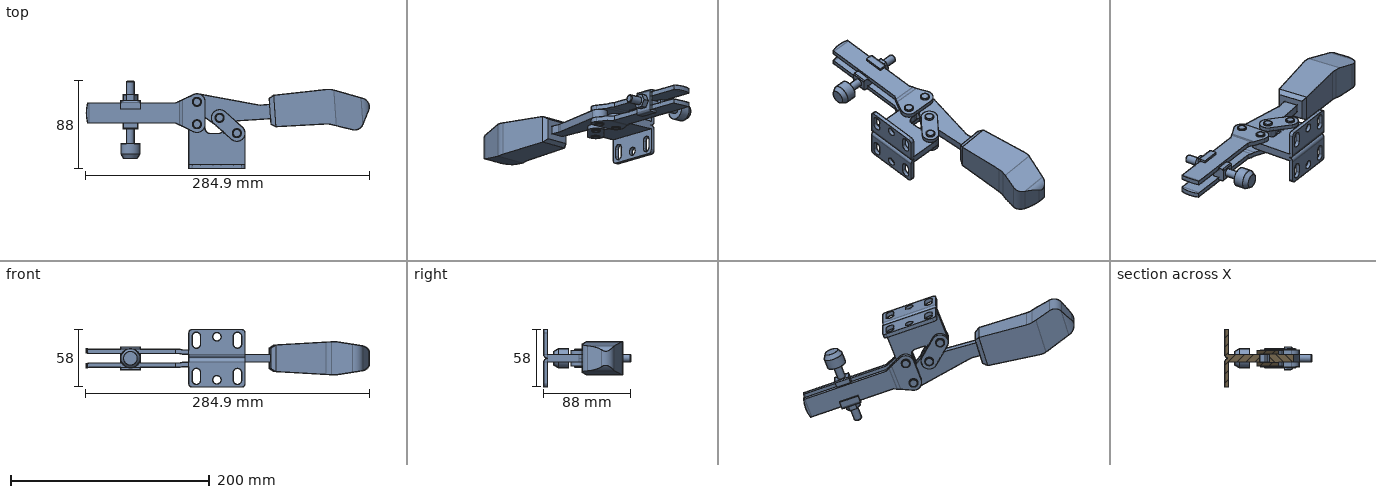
import cadquery as cq
import math


sheet = 4.0
web_half = sheet
eye_radius = 8.3
pin_radius = 4.5
pin_chamfer = 0.9
pin_stand_out = 1.5
tall = 114.0

base_left = 103.0
base_length = 56.7
base_right = base_left + base_length
flange_half = 29.0
flange_corner = 3.5
slot_spacing = 41.3
slot_length = 16.0
slot_width = 8.3
slot_z = 18.2
hole_diameter = 8.3
hole_z = 21.6
notch_floor = 35.3
notch_radius = 5.0
notch_right = 138.0

arm_x = base_left + eye_radius
arm_mid_y = 55.8
arm_pivot_spacing = 22.5
base_pivot = (arm_x, arm_mid_y - arm_pivot_spacing / 2)
lever_pivot = (arm_x, arm_mid_y + arm_pivot_spacing / 2)
link_base_pivot = (base_right - eye_radius, 35.5)
link_lever_pivot = (134.0, 51.0)

arm_sheet = 4.5
arm_half_width = 10.3
arm_neck_x = 90.0
bend_start = 93.7
bend_end = 96.8
bend_offset = 0.7
tip_length = 2.5
tip_bulge = 1.5
arm_inner = web_half + bend_offset
arm_outer = arm_inner + arm_sheet

bar_bend = (174.5, 63.8)
bar_heel = (151.8, 47.8)
bar_bend_radius = 11.5
bar_half_height = 7.7
bar_insertion = 28.5

grip_start = (184.8, 57.5)
grip_tilt = 4.0
grip_front_chamfer = 4.8
grip_front_half = 13.0
grip_front_half_z = 10.3
grip_neck_half = 16.0
grip_neck_half_z = 13.5
grip_widest = 65.5
grip_widest_half_z = 16.8
grip_end_half_z = 11.0
grip_end = 101.5
grip_end_radius = 10.8
hump = (62.0, 18.2)
belly = (58.0, -16.8)
heel = (88.9, -26.8)
nose = (103.7, 3.0)
hump_radius = 20.0
tail_radius = 9.0

link_sheet = 4.0

spindle_x = 44.5
spindle_radius = 4.0
spindle_top = 88.0
spindle_chamfer = 0.9
pad_radius = 9.7
pad_end_radius = 6.8
pad_top = 25.0
pad_shoulder = 14.8
pad_bottom = 10.0
nut_height = 6.0
nut_corner_radius = 7.5
block_half_x = 7.5
block_half_z = 6.8
block_height = 6.0
block_chamfer = 1.0
stem_half_z = 4.3
stem_height = 6.0
saddle_half_x = 10.0
saddle_sheet = 2.3
saddle_bend_radius = 2.0
saddle_flap = 6.0
arm_top = arm_mid_y + arm_half_width
arm_bottom = arm_mid_y - arm_half_width


def block(x0, x1, y0, y1, z0, z1):
    """Box between two opposite corners."""
    return cq.Workplane("XY").box(x1 - x0, y1 - y0, z1 - z0, centered=False).translate((x0, y0, z0))


def disc(center, radius, half_height):
    """Cylinder along Z, centred on Z = 0."""
    return cq.Workplane("XY").center(*center).circle(radius).extrude(half_height, both=True)


def tangent_point(center, radius, point, side):
    """Point where the line from `point` touches a circle, left (+1) or right (-1) of its center."""
    dx = center[0] - point[0]
    dy = center[1] - point[1]
    distance = math.hypot(dx, dy)
    angle = math.atan2(dy, dx) + side * math.asin(radius / distance)
    reach = math.sqrt(distance**2 - radius**2)
    return (point[0] + reach * math.cos(angle), point[1] + reach * math.sin(angle))


def eye_strip(start, end, radius, half_height):
    """Strip with round ends centred on two points."""
    length = math.dist(start, end)
    angle = math.degrees(math.atan2(end[1] - start[1], end[0] - start[0]))
    middle = ((start[0] + end[0]) / 2, (start[1] + end[1]) / 2)
    strip = cq.Workplane("XY").slot2D(length + 2 * radius, 2 * radius, angle)
    return strip.extrude(half_height, both=True).translate(middle)


def pin(center, half_length):
    """Rivet along Z with chamfered ends."""
    return disc(center, pin_radius, half_length).faces("|Z").chamfer(pin_chamfer)


def pin_hole(center):
    return disc(center, pin_radius, tall)


def make_base():
    """Web with two pivot lobes, ending in a T flange bent out of doubled sheet."""
    web_top = base_pivot[1]
    web = block(base_left, base_right, 0, web_top, -web_half, web_half)
    web = web.union(disc(base_pivot, eye_radius, web_half))
    notch = block(base_left + 2 * eye_radius, notch_right, notch_floor, tall, -tall, tall)
    web = web.cut(notch.edges("|Z and <Y").fillet(notch_radius))
    web = web.cut(block(notch_right, base_right, link_base_pivot[1], tall, -tall, tall))
    web = web.union(disc(link_base_pivot, eye_radius, web_half))

    flange = block(base_left, base_right, 0, sheet, -flange_half, flange_half)
    flange = flange.edges("|Y").fillet(flange_corner)
    base_middle = (base_left + base_right) / 2
    openings = cq.Workplane("XZ", origin=(base_middle, 0, 0))
    for side in (-1, 1):
        slots = openings.pushPoints([(x, side * slot_z) for x in (-slot_spacing / 2, slot_spacing / 2)])
        flange = flange.cut(slots.slot2D(slot_length, slot_width, 90).extrude(tall, both=True))
        hole = openings.center(0, side * hole_z).circle(hole_diameter / 2).extrude(tall, both=True)
        flange = flange.cut(hole)

    cusp = (
        cq.Workplane("YZ", origin=(base_left, 0, 0))
        .moveTo(0, -sheet)
        .radiusArc((sheet, 0), sheet)
        .radiusArc((0, sheet), sheet)
        .close()
        .extrude(base_length)
    )
    base = web.union(flange).cut(cusp)
    for pivot in (base_pivot, link_base_pivot):
        base = base.cut(pin_hole(pivot))
    return base


def make_arm():
    """Two bent strips held together by the two arm pins."""
    upper_touch = tangent_point(lever_pivot, eye_radius, (arm_neck_x, arm_top), 1)
    lower_touch = tangent_point(base_pivot, eye_radius, (arm_neck_x, arm_bottom), -1)
    head_right = arm_x + eye_radius
    outline = (
        cq.Workplane("XY")
        .moveTo(tip_bulge, arm_bottom)
        .lineTo(arm_neck_x, arm_bottom)
        .lineTo(*lower_touch)
        .radiusArc((head_right, base_pivot[1]), -eye_radius)
        .lineTo(head_right, lever_pivot[1])
        .radiusArc(upper_touch, -eye_radius)
        .lineTo(arm_neck_x, arm_top)
        .lineTo(tip_bulge, arm_top)
        .threePointArc((0, arm_mid_y), (tip_bulge, arm_bottom))
        .close()
        .extrude(tall, both=True)
    )
    inner = [
        (0, arm_inner + bend_offset),
        (tip_length, arm_inner),
        (bend_start, arm_inner),
        (bend_end, web_half),
        (head_right, web_half),
    ]
    outer = [(x, z + arm_sheet) for x, z in reversed(inner)]
    strip = cq.Workplane("XZ").polyline(inner + outer).close().extrude(-tall).intersect(outline)
    arm = strip.union(strip.mirror("XY"))
    for pivot in (base_pivot, lever_pivot):
        arm = arm.union(pin(pivot, web_half + arm_sheet + pin_stand_out))
    return arm


def make_links():
    """Two straight links held together by their pins."""
    outer = web_half + link_sheet
    links = eye_strip(link_lever_pivot, link_base_pivot, eye_radius, outer)
    links = links.cut(block(0, tall * 2, 0, tall, -web_half, web_half))
    for pivot in (link_lever_pivot, link_base_pivot):
        links = links.union(pin(pivot, outer + pin_stand_out))
    return links


def from_grip(u, v):
    """Point given along and across the grip axis, as an XY point."""
    tilt = math.radians(grip_tilt)
    x = grip_start[0] + u * math.cos(tilt) - v * math.sin(tilt)
    y = grip_start[1] + u * math.sin(tilt) + v * math.cos(tilt)
    return (x, y)


def make_lever():
    """Flat lever from the arm pivot past the link pivot into the grip."""
    upper_touch = tangent_point(lever_pivot, eye_radius, bar_bend, -1)
    heel_touch = tangent_point(link_lever_pivot, eye_radius, bar_heel, 1)
    plate = (
        cq.Workplane("XY")
        .polyline([
            lever_pivot,
            upper_touch,
            bar_bend,
            from_grip(bar_insertion, bar_half_height),
            from_grip(bar_insertion, -bar_half_height),
            bar_heel,
            heel_touch,
            link_lever_pivot,
        ])
        .close()
        .extrude(web_half, both=True)
        .edges(cq.selectors.NearestToPointSelector((*bar_bend, 0)))
        .fillet(bar_bend_radius)
    )
    lever = plate.union(eye_strip(lever_pivot, link_lever_pivot, eye_radius, web_half))
    for pivot in (lever_pivot, link_lever_pivot):
        lever = lever.cut(pin_hole(pivot))
    return lever


def make_grip(lever):
    """Side outline trimmed by a symmetric taper in Z, with a socket for the lever."""
    outline = [
        (0, -grip_front_half),
        (grip_front_chamfer, -grip_neck_half),
        belly,
        heel,
        nose,
        hump,
        (grip_front_chamfer, grip_neck_half),
        (0, grip_front_half),
    ]
    body = cq.Workplane("XY").polyline(outline).close().extrude(tall, both=True)
    rounded_corners = [
        (hump, hump_radius),
        (belly, hump_radius),
        (heel, tail_radius),
        (nose, tail_radius),
    ]
    for corner, radius in rounded_corners:
        body = body.edges(cq.selectors.NearestToPointSelector((*corner, 0))).fillet(radius)

    upper_taper = [
        (0, grip_front_half_z),
        (grip_front_chamfer, grip_neck_half_z),
        (grip_widest, grip_widest_half_z),
        (grip_end, grip_end_half_z),
    ]
    lower_taper = [(u, -z) for u, z in reversed(upper_taper)]
    taper = (
        cq.Workplane("XZ")
        .polyline(upper_taper + lower_taper)
        .close()
        .extrude(tall, both=True)
        .edges("|Y and >X")
        .fillet(grip_end_radius)
    )
    grip = body.intersect(taper).rotate((0, 0, 0), (0, 0, 1), grip_tilt).translate(grip_start)
    return grip.cut(lever)


def make_spindle():
    """Spindle with its pad, the lock nut on the saddle and the T block under the arm."""
    nut_bottom = arm_top + saddle_sheet
    rod = (
        cq.Workplane("XY")
        .moveTo(0, pad_bottom)
        .lineTo(pad_end_radius, pad_bottom)
        .lineTo(pad_radius, pad_shoulder)
        .lineTo(pad_radius, pad_top)
        .lineTo(spindle_radius, pad_top)
        .lineTo(spindle_radius, spindle_top - spindle_chamfer)
        .lineTo(spindle_radius - spindle_chamfer, spindle_top)
        .lineTo(0, spindle_top)
        .close()
        .revolve(360, (0, 0), (0, 1))
    )
    nut_plane = cq.Workplane("XZ", origin=(0, nut_bottom, 0))
    nut = nut_plane.polygon(6, 2 * nut_corner_radius).extrude(-nut_height)
    foot_bottom = arm_bottom - block_height
    foot = block(-block_half_x, block_half_x, foot_bottom, arm_bottom, -block_half_z, block_half_z)
    foot = foot.edges("|X and <Y").chamfer(block_chamfer)
    stem_top = arm_bottom + stem_height
    stem = block(-block_half_x, block_half_x, arm_bottom, stem_top, -stem_half_z, stem_half_z)
    return rod.union(nut).union(foot).union(stem).translate((spindle_x, 0, 0))


def make_saddle():
    """Channel washer that straddles both strips of the arm."""
    half_z = arm_outer + saddle_sheet
    top = arm_top + saddle_sheet
    channel = block(-saddle_half_x, saddle_half_x, arm_top - saddle_flap, top, -half_z, half_z)
    channel = channel.edges("|X and >Y").fillet(saddle_bend_radius)
    channel = channel.cut(block(-tall, tall, 0, arm_top, -arm_outer, arm_outer))
    bore = cq.Workplane("XZ").circle(spindle_radius).extrude(-tall)
    return channel.cut(bore).translate((spindle_x, 0, 0))


base = make_base()
arm = make_arm()
links = make_links()
lever = make_lever()
grip = make_grip(lever)
spindle = make_spindle()
saddle = make_saddle()

result = cq.Compound.makeCompound([
    base.val(),
    arm.val(),
    links.val(),
    lever.val(),
    grip.val(),
    spindle.val(),
    saddle.val(),
])